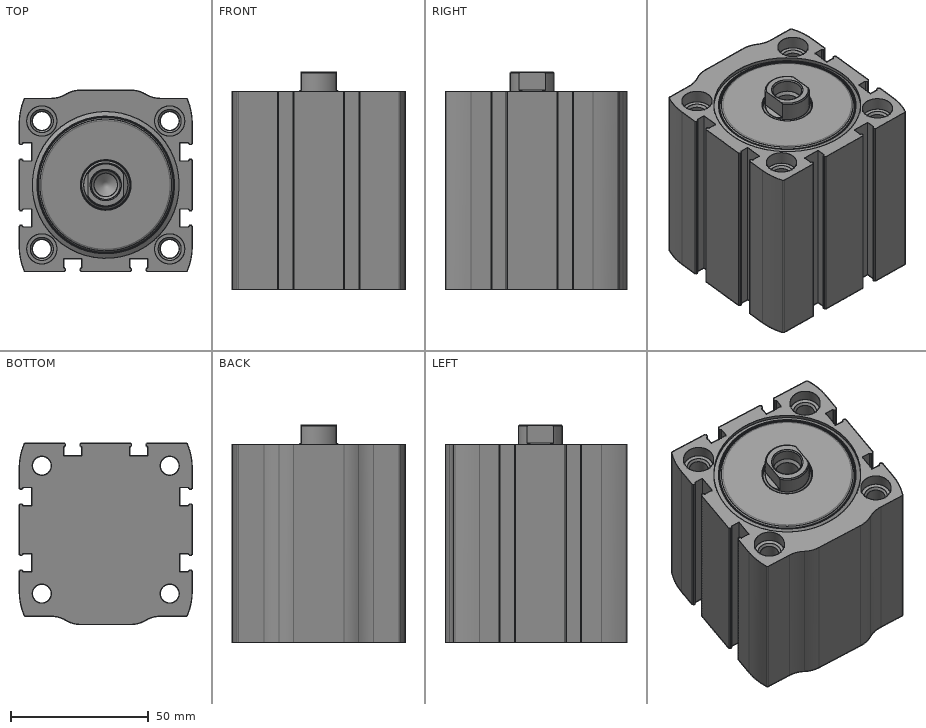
import cadquery as cq
import math

TOTAL_HEIGHT = 79.0
HOUSING_HEIGHT = 72.0
HALF_WIDTH = 31.48
PORT_SIDE_Y = 34.48
PORT_FLAT_HALF = 9.1
PORT_BLEND_RADIUS = 10.4

SIDE_FLAT_HALF = 22.1
CORNER_X = 29.55
CORNER_RADIUS = 0.6

SLOT_OFFSET = 12.0
SLOT_MOUTH = 5.2
SLOT_WIDTH = 6.5
SLOT_LIP = 1.4
SLOT_DEPTH = 4.6
SLOT_EDGE_RADIUS = 0.4

BOLT_OFFSET = 23.2
BOLT_DIAMETER = 6.8
BOLT_CHAMFER_DIAMETER = 8.4
BOLT_HEAD_DIAMETER = 11.0
BOLT_HEAD_DEPTH = 5.0

RING_OUTER_RADIUS = 53.3 / 2
RING_INNER_RADIUS = 50.0 / 2
RING_BORE_RADIUS = 24.8
RING_TOP_DROP = 0.4
CONE_SLOPE = math.tan(math.radians(30))
CAP_RADIUS = 24.5
CAP_BEVEL_RADIUS = 23.9
CAP_FLAT_RADIUS = 23.4
CAP_BEVEL_DROP = 0.15
CAP_RIM_DROP = 0.55
CAP_GAP_DEPTH = 1.6

WIPER_OUTER_RADIUS = 18.1 / 2
WIPER_RIM_CHAMFER = 0.15
WIPER_BASE_RADIUS = 8.8
WIPER_TOP_DROP = 0.4
WIPER_SLOPE = math.tan(math.radians(50))

ROD_RADIUS = 16.0 / 2
ROD_LENGTH = 39.5
ROD_CHAMFER = 0.4
ROD_FLAT_HALF = 6.44
ROD_FLAT_END = HOUSING_HEIGHT + 0.5
ROD_RUN_OUT_SLOPE = math.tan(math.radians(30))

ROD_MOUTH_RADIUS = 11.4 / 2
ROD_ENTRY_RADIUS = 10.5 / 2
ROD_DRILL_RADIUS = 8.5 / 2
ROD_ENTRY_DEPTH = 5.05
ROD_DRILL_DEPTH = 19.75
DRILL_TIP_ANGLE = 118.0


def revolve(points):
    """Turn a closed (radius, height) outline around the Z axis."""
    return cq.Workplane("XZ").polyline(points).close().revolve(360, (0, 0, 0), (0, 1, 0))


def side_arc_mid(sx, sy):
    """Middle point of the arc that runs tangentially from an X side to a corner."""
    inset = HALF_WIDTH - CORNER_X
    rise = HALF_WIDTH - SIDE_FLAT_HALF
    radius = (inset ** 2 + rise ** 2) / (2 * inset)
    half_sweep = math.asin(rise / radius) / 2
    x = HALF_WIDTH - radius * (1 - math.cos(half_sweep))
    y = SIDE_FLAT_HALF + radius * math.sin(half_sweep)
    return (sx * x, sy * y)


def housing_blank():
    """Extruded outline with the raised port side on +Y and curved corners on both X sides."""
    step = PORT_SIDE_Y - HALF_WIDTH
    blend_length = math.sqrt(step * (4 * PORT_BLEND_RADIUS - step))
    blend_end = PORT_FLAT_HALF + blend_length
    blend_mid = PORT_FLAT_HALF + blend_length / 2
    mid_y = (PORT_SIDE_Y + HALF_WIDTH) / 2
    blank = (
        cq.Workplane("XY")
        .moveTo(-CORNER_X, -HALF_WIDTH)
        .lineTo(CORNER_X, -HALF_WIDTH)
        .threePointArc(side_arc_mid(1, -1), (HALF_WIDTH, -SIDE_FLAT_HALF))
        .lineTo(HALF_WIDTH, SIDE_FLAT_HALF)
        .threePointArc(side_arc_mid(1, 1), (CORNER_X, HALF_WIDTH))
        .lineTo(blend_end, HALF_WIDTH)
        .tangentArcPoint((blend_mid, mid_y), relative=False)
        .tangentArcPoint((PORT_FLAT_HALF, PORT_SIDE_Y), relative=False)
        .lineTo(-PORT_FLAT_HALF, PORT_SIDE_Y)
        .tangentArcPoint((-blend_mid, mid_y), relative=False)
        .tangentArcPoint((-blend_end, HALF_WIDTH), relative=False)
        .lineTo(-CORNER_X, HALF_WIDTH)
        .threePointArc(side_arc_mid(-1, 1), (-HALF_WIDTH, SIDE_FLAT_HALF))
        .lineTo(-HALF_WIDTH, -SIDE_FLAT_HALF)
        .threePointArc(side_arc_mid(-1, -1), (-CORNER_X, -HALF_WIDTH))
        .close()
        .extrude(HOUSING_HEIGHT)
    )
    for sx in (-1, 1):
        for sy in (-1, 1):
            corner = cq.NearestToPointSelector((sx * CORNER_X, sy * HALF_WIDTH, HOUSING_HEIGHT / 2))
            blank = blank.edges("|Z").edges(corner).fillet(CORNER_RADIUS)
    return blank


def sensor_slot(turn, offset):
    """T-shaped slot along Z with rounded lips, opening on the -Y side and then turned about Z."""
    mouth = SLOT_MOUTH / 2
    channel = SLOT_WIDTH / 2
    edge = SLOT_EDGE_RADIUS
    slot = (
        cq.Workplane("XY")
        .moveTo(-mouth - edge, 0)
        .radiusArc((-mouth, edge), edge)
        .lineTo(-mouth, SLOT_LIP - edge)
        .radiusArc((-mouth - edge, SLOT_LIP), edge)
        .lineTo(-channel, SLOT_LIP)
        .lineTo(-channel, SLOT_DEPTH)
        .lineTo(channel, SLOT_DEPTH)
        .lineTo(channel, SLOT_LIP)
        .lineTo(mouth + edge, SLOT_LIP)
        .radiusArc((mouth, SLOT_LIP - edge), edge)
        .lineTo(mouth, edge)
        .radiusArc((mouth + edge, 0), edge)
        .close()
        .extrude(HOUSING_HEIGHT)
    )
    return slot.translate((offset, -HALF_WIDTH, 0)).rotate((0, 0, 0), (0, 0, 1), turn)


def bolt_hole(x, y):
    """Through hole with a head counterbore and a 45 degree chamfer below it."""
    bolt = BOLT_DIAMETER / 2
    chamfer = BOLT_CHAMFER_DIAMETER / 2
    head = BOLT_HEAD_DIAMETER / 2
    head_floor = HOUSING_HEIGHT - BOLT_HEAD_DEPTH
    hole = revolve([
        (0, 0),
        (bolt, 0),
        (bolt, head_floor - (chamfer - bolt)),
        (chamfer, head_floor),
        (head, head_floor),
        (head, HOUSING_HEIGHT),
        (0, HOUSING_HEIGHT),
    ])
    return hole.translate((x, y, 0))


def ring_recess():
    """Groove between housing and end cap, above the conical ring and the bevelled cap rim."""
    top = HOUSING_HEIGHT
    ring_drop = (RING_OUTER_RADIUS - RING_INNER_RADIUS) * CONE_SLOPE
    ring_foot = top - RING_TOP_DROP - ring_drop
    return revolve([
        (CAP_FLAT_RADIUS, top),
        (CAP_BEVEL_RADIUS, top - CAP_BEVEL_DROP),
        (CAP_RADIUS, top - CAP_RIM_DROP),
        (CAP_RADIUS, top - CAP_GAP_DEPTH),
        (RING_BORE_RADIUS, top - CAP_GAP_DEPTH),
        (RING_BORE_RADIUS, top - RING_TOP_DROP),
        (RING_INNER_RADIUS, top - RING_TOP_DROP),
        (RING_OUTER_RADIUS, ring_foot),
        (RING_OUTER_RADIUS, top),
    ])


def wiper_recess():
    """Groove with a chamfered rim around the rod, above a conical wiper lip that touches the rod."""
    top = HOUSING_HEIGHT
    lip_top = top - WIPER_TOP_DROP
    lip_foot = lip_top - (WIPER_BASE_RADIUS - ROD_RADIUS) * WIPER_SLOPE
    return revolve([
        (ROD_RADIUS, top),
        (ROD_RADIUS, lip_top),
        (WIPER_BASE_RADIUS, lip_foot),
        (WIPER_OUTER_RADIUS, lip_foot),
        (WIPER_OUTER_RADIUS, top - WIPER_RIM_CHAMFER),
        (WIPER_OUTER_RADIUS + WIPER_RIM_CHAMFER, top),
    ])


def rod_cylinder():
    return cq.Workplane("XY", origin=(0, 0, TOTAL_HEIGHT - ROD_LENGTH)).circle(ROD_RADIUS).extrude(ROD_LENGTH)


def make_housing():
    housing = housing_blank()
    for turn in (-90, 0, 90):
        for offset in (-SLOT_OFFSET, SLOT_OFFSET):
            housing = housing.cut(sensor_slot(turn, offset))
    for x in (-BOLT_OFFSET, BOLT_OFFSET):
        for y in (-BOLT_OFFSET, BOLT_OFFSET):
            housing = housing.cut(bolt_hole(x, y))
    return housing.cut(rod_cylinder()).cut(ring_recess()).cut(wiper_recess())


def rod_hole():
    """Blind hole in the rod end: chamfered mouth, wide entry, cone, drilled hole with a pointed end."""
    top = TOTAL_HEIGHT
    mouth_end = top - (ROD_MOUTH_RADIUS - ROD_ENTRY_RADIUS)
    entry_end = top - ROD_ENTRY_DEPTH
    drill_end = top - ROD_DRILL_DEPTH
    tip = ROD_DRILL_RADIUS / math.tan(math.radians(DRILL_TIP_ANGLE / 2))
    return revolve([
        (0, top),
        (ROD_MOUTH_RADIUS, top),
        (ROD_ENTRY_RADIUS, mouth_end),
        (ROD_ENTRY_RADIUS, entry_end),
        (ROD_DRILL_RADIUS, entry_end - (ROD_ENTRY_RADIUS - ROD_DRILL_RADIUS)),
        (ROD_DRILL_RADIUS, drill_end),
        (0, drill_end - tip),
    ])


def wrench_flat(side):
    """Flat on one X side of the rod, running out downwards along a slope."""
    run_out = (ROD_RADIUS - ROD_FLAT_HALF) * ROD_RUN_OUT_SLOPE
    return (
        cq.Workplane("XZ")
        .polyline([
            (side * ROD_FLAT_HALF, TOTAL_HEIGHT),
            (side * ROD_FLAT_HALF, ROD_FLAT_END),
            (side * ROD_RADIUS, ROD_FLAT_END - run_out),
            (side * ROD_RADIUS, TOTAL_HEIGHT),
        ])
        .close()
        .extrude(ROD_RADIUS, both=True)
    )


def make_rod():
    rod = rod_cylinder().faces(">Z").chamfer(ROD_CHAMFER).cut(rod_hole())
    for side in (-1, 1):
        rod = rod.cut(wrench_flat(side))
    return rod


housing = make_housing()
rod = make_rod()
result = cq.Compound.makeCompound([housing.val(), rod.val()])